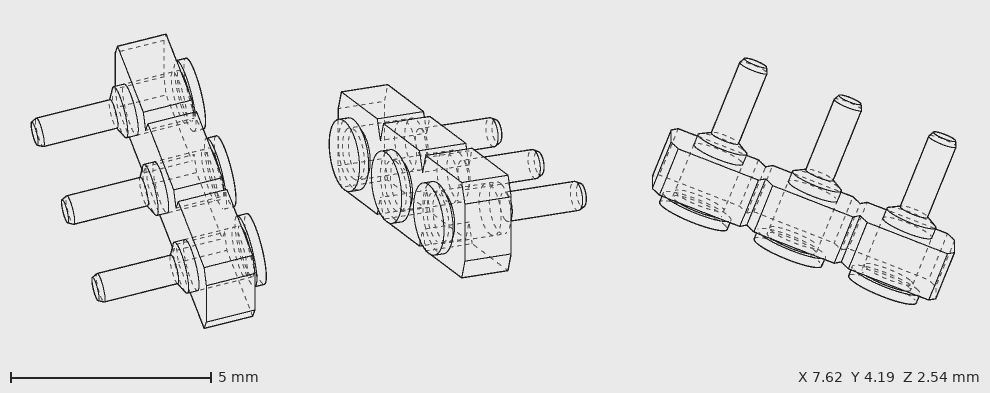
import cadquery as cq

pin_count = 3
housing_length = 7.62
pitch = housing_length / pin_count
housing_height = pitch
housing_depth = 1.27
notch_half_width = 0.19
notch_depth = 0.51

flange_diameter = 1.83
barrel_diameter = 1.32
tail_diameter = 0.74
tip_diameter = 0.6

flange_thickness = 0.25
flange_standoff = 0.16
front_barrel_length = 0.275
cone_length = 0.17
tip_length = 0.14
total_depth = 4.19

barrel_front_y = -front_barrel_length
cone_front_y = barrel_front_y - cone_length
flange_front_y = housing_depth + flange_standoff
flange_back_y = flange_front_y + flange_thickness
tip_y = flange_back_y - total_depth
tip_chamfer_y = tip_y + tip_length

pin_positions = [(i - (pin_count - 1) / 2) * pitch for i in range(pin_count)]


def make_housing():
    """Bar with V notches between cells, matching end bevels and a through hole per pin."""
    body = cq.Workplane("XY").box(housing_length, housing_depth, housing_height)
    body = body.translate((0, housing_depth / 2, 0))

    for i in range(pin_count + 1):
        x = i * pitch - housing_length / 2
        for side in (-1, 1):
            edge_z = side * housing_height / 2
            notch = (
                cq.Workplane("XZ")
                .moveTo(x - notch_half_width, edge_z)
                .lineTo(x + notch_half_width, edge_z)
                .lineTo(x, edge_z - side * notch_depth)
                .close()
                .extrude(-housing_depth)
            )
            body = body.cut(notch)

    holes = (
        cq.Workplane("XZ")
        .pushPoints([(x, 0) for x in pin_positions])
        .circle(barrel_diameter / 2)
        .extrude(-housing_depth)
    )
    return body.cut(holes)


def make_pin(x):
    """Turned pin with a rear flange, a barrel, a cone and a slim tail with a chamfered tip."""
    profile = [
        (0, flange_back_y),
        (flange_diameter / 2, flange_back_y),
        (flange_diameter / 2, flange_front_y),
        (barrel_diameter / 2, flange_front_y),
        (barrel_diameter / 2, barrel_front_y),
        (tail_diameter / 2, cone_front_y),
        (tail_diameter / 2, tip_chamfer_y),
        (tip_diameter / 2, tip_y),
        (0, tip_y),
    ]
    pin = cq.Workplane("XY").polyline(profile).close().revolve(360, (0, 0), (0, 1))
    return pin.translate((x, 0, 0))


housing = make_housing()
pins = [make_pin(x) for x in pin_positions]

result = cq.Compound.makeCompound([housing.val(), *[pin.val() for pin in pins]])